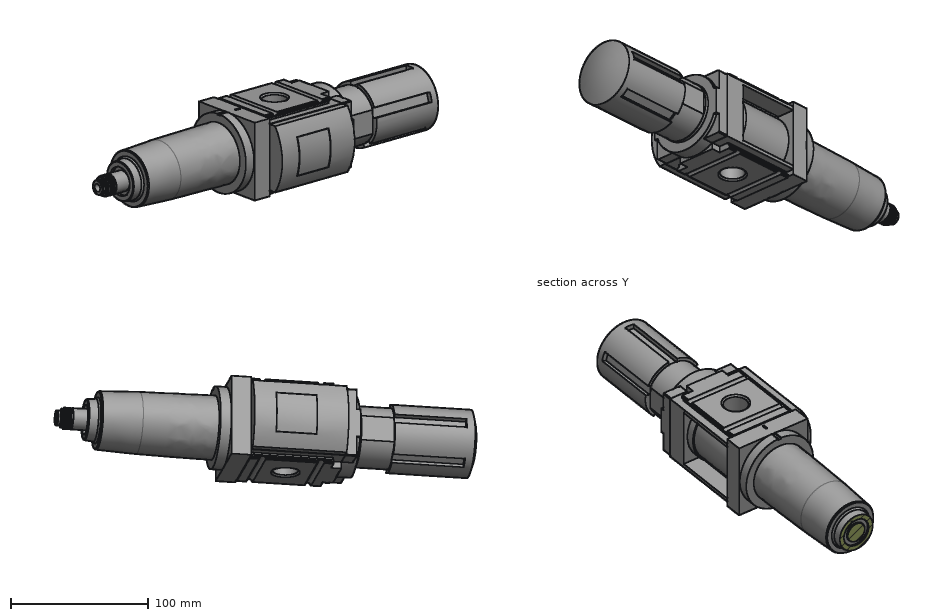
import cadquery as cq
import math


KNOB_TOP_Y = 140.7
KNOB_RIM_Y = 136.0
KNOB_BASE_Y = 76.8
COLLAR_TOP_Y = 52.3
CAP_TOP_Y = 49.8
CAP_CORNER_Y = 47.0
BODY_TOP_Y = 38.4
BODY_BASE_Y = -31.3
BLOCK_BASE_Y = -45.9
RING_BASE_Y = -53.7
BOWL_LINE_Y = -110.0
BOWL_RIM_Y = -139.2
BOWL_END_Y = -140.2
DRAIN_END_Y = -170.43

KNOB_R = 50.23 / 2
GROOVE_COUNT = 5
GROOVE_WIDTH = 7.6
GROOVE_DEPTH = 4.0
GROOVE_TOP_Y = 130.1
NECK_R = 45.0 / 2
NECK_FLAT = 20.5
COLLAR_R = 22.7

HALF_WIDTH = 31.25
HALF_HEIGHT = 31.0
CAP_HALF_WIDTH = 30.9
CAP_R = 30.2
CAP_HALF_Z = 25.8
CAP_TAB_HALF_Z = 10.5
CAP_CHAMFER = 0.7
LEDGE_Z = 26.0
BLOCK_HALF_WIDTH = 31.1
BLOCK_HALF_Z = 30.1
RING_R = 30.4
RING_NOTCH_WIDTH = 2.8
RING_NOTCH_DEPTH = 1.0
MARK_WIDTH = 1.2
MARK_LENGTH = 4.0
MARK_Y = -35.7
MARK_DEPTH = 0.3

PLATE_FOOT_X = 24.8
PLATE_EDGE_X = 26.4
PLATE_TOP_X = 25.4
PLATE_SLOPE_Z = 27.5
PLATE_EDGE_Z = 29.3
PLATE_CHAMFER_Z = 30.3
PLATE_TOP_Y = 30.8
TONGUE_HALF_X = 16.2
CROSS_GROOVE_R = 2.3
CROSS_GROOVES_Y = (21.5, -21.9)
PORT_D = 18.63
PORT_CHAMFER = 1.3
PORT_DEPTH = 20.0

POCKET_TOP_Y = 21.7
POCKET_HALF_Z = 23.0
POCKET_FLOOR_X = -16.3
SLEEVE_R = 26.7
SLEEVE_COLLAR_R = 27.9
SLEEVE_COLLAR_Y = 15.0

GAUGE_HALF_Z = 25.6
GAUGE_SHOULDER_X = 37.0
GAUGE_CREST_X = 45.0
GAUGE_TOTAL_X = 45.63
WINDOW_SIZE = 30.0

BOWL_TOP_R = 23.6
BOWL_MID_R = 23.3
BOWL_LINE_R = 22.8
BOWL_RIM_R = 21.5
BOWL_END_R = 20.9
NUT_R = 15.7
NUT_END_R = 14.6
NUT_CONE_R = 17.0
NUT_TOP_Y = -141.6
NUT_RIM_R = 15.1
NUT_RIM_Y = -148.2
NUT_RECESS_R = 11.0
NUT_RECESS_DEPTH = 2.5
NUT_END_Y = -148.8
STEM_R = 15.8 / 2
STEM_END_Y = -158.7
STEM_NECK_R = 11.6 / 2
RIB_PITCH = 1.6
RIB_WIDTH = 1.0
RIB_COUNT = 3
RIB_TOP_Y = -160.3
DRAIN_LAND_R = 7.0
DRAIN_LAND_TOP_Y = -165.6
DRAIN_LAND_BASE_Y = -166.6
TIP_GROOVE_R = 11.0 / 2
TIP_R = 11.4 / 2
TIP_TOP_Y = -167.7
TIP_CHAMFER_Y = -169.5
TIP_END_R = 5.3
DRAIN_BORE_D = 6.0
DRAIN_BORE_DEPTH = 12.0


def block(x_range, y_range, z_range):
    """Box between the given pairs of limits."""
    (x0, x1), (y0, y1), (z0, z1) = x_range, y_range, z_range
    return cq.Workplane("XY").box(x1 - x0, y1 - y0, z1 - z0, centered=False).translate((x0, y0, z0))


def disc(radius, y_top, y_base):
    """Cylinder on the main axis."""
    return cq.Workplane("XZ", origin=(0, y_top, 0)).circle(radius).extrude(y_top - y_base)


def revolved(profile):
    """Solid of revolution about the main axis from a (radius, y) wire."""
    return profile.close().revolve(360, (0, 0, 0), (0, 1, 0))


def make_knob():
    crown_slope_r = KNOB_R / 2
    rise = KNOB_TOP_Y - KNOB_RIM_Y
    crown_r = (KNOB_R**2 + rise**2) / (2 * rise)
    crown_mid_y = KNOB_TOP_Y - crown_r + math.sqrt(crown_r**2 - crown_slope_r**2)
    knob = revolved(
        cq.Workplane("XY")
        .moveTo(0, KNOB_BASE_Y)
        .lineTo(KNOB_R, KNOB_BASE_Y)
        .lineTo(KNOB_R, KNOB_RIM_Y)
        .threePointArc((crown_slope_r, crown_mid_y), (0, KNOB_TOP_Y))
    )
    groove = block(
        (-GROOVE_WIDTH / 2, GROOVE_WIDTH / 2),
        (KNOB_BASE_Y, GROOVE_TOP_Y),
        (KNOB_R - GROOVE_DEPTH, KNOB_R + GROOVE_DEPTH),
    )
    for i in range(GROOVE_COUNT):
        knob = knob.cut(groove.rotate((0, 0, 0), (0, 1, 0), i * 360 / GROOVE_COUNT))
    return knob


def make_neck():
    neck = disc(NECK_R, KNOB_BASE_Y, COLLAR_TOP_Y)
    flats = block((-NECK_FLAT, NECK_FLAT), (COLLAR_TOP_Y, KNOB_BASE_Y), (-NECK_R, NECK_R))
    return neck.intersect(flats).union(disc(COLLAR_R, COLLAR_TOP_Y, CAP_TOP_Y))


def make_cap():
    """Round cap with a square base and a raised tab on each X side."""
    x_limits = (-CAP_HALF_WIDTH, CAP_HALF_WIDTH)
    base = block(
        x_limits, (BODY_TOP_Y, CAP_TOP_Y), (-CAP_HALF_Z, CAP_HALF_Z)
    ).edges("|Y").chamfer(CAP_CHAMFER)
    for side in (-1, 1):
        z_limits = sorted((side * CAP_TAB_HALF_Z, side * HALF_HEIGHT))
        base = base.cut(block(x_limits, (CAP_CORNER_Y, CAP_TOP_Y), z_limits))
    return base.union(disc(CAP_R, CAP_TOP_Y, BODY_TOP_Y))


def make_plate():
    """Dovetail plate on the +Z face, with a tongue toward the cap and two cross grooves."""
    right_side = [
        (PLATE_FOOT_X, LEDGE_Z),
        (PLATE_FOOT_X, PLATE_SLOPE_Z),
        (PLATE_EDGE_X, PLATE_EDGE_Z),
        (PLATE_EDGE_X, PLATE_CHAMFER_Z),
        (PLATE_TOP_X, HALF_HEIGHT),
    ]
    left_side = [(-x, z) for x, z in reversed(right_side)]
    plate = (
        cq.Workplane("XZ", origin=(0, PLATE_TOP_Y, 0))
        .polyline(right_side + left_side)
        .close()
        .extrude(PLATE_TOP_Y - BODY_BASE_Y)
    )
    tongue = block((-TONGUE_HALF_X, TONGUE_HALF_X), (PLATE_TOP_Y, BODY_TOP_Y), (LEDGE_Z, HALF_HEIGHT))
    plate = plate.union(tongue)
    for y in CROSS_GROOVES_Y:
        groove = (
            cq.Workplane("YZ", origin=(-HALF_WIDTH, y, HALF_HEIGHT))
            .circle(CROSS_GROOVE_R)
            .extrude(2 * HALF_WIDTH)
        )
        plate = plate.cut(groove)
    return plate


def make_port():
    """Cutter for one blind port with a chamfered mouth on the +Z face."""
    bore = cq.Workplane("XY", origin=(0, 0, HALF_HEIGHT)).circle(PORT_D / 2).extrude(-PORT_DEPTH)
    mouth = (
        cq.Workplane("XY", origin=(0, 0, HALF_HEIGHT))
        .circle(PORT_D / 2 + PORT_CHAMFER)
        .extrude(-PORT_CHAMFER, taper=45)
    )
    return bore.union(mouth)


def make_pocket():
    """Cutter for the -X pocket; the sleeve inside it is left standing."""
    z_limits = (-POCKET_HALF_Z, POCKET_HALF_Z)
    pocket = block((-HALF_WIDTH, POCKET_FLOOR_X), (BODY_BASE_Y, POCKET_TOP_Y), z_limits)
    pocket = pocket.cut(disc(SLEEVE_R, POCKET_TOP_Y, BODY_BASE_Y))
    return pocket.cut(disc(SLEEVE_COLLAR_R, POCKET_TOP_Y, SLEEVE_COLLAR_Y))


def make_body():
    x_limits = (-HALF_WIDTH, HALF_WIDTH)
    body = block(x_limits, (BODY_BASE_Y, BODY_TOP_Y), (-LEDGE_Z, LEDGE_Z))
    body = body.cut(make_pocket())
    base_block = block(
        (-BLOCK_HALF_WIDTH, BLOCK_HALF_WIDTH),
        (BLOCK_BASE_Y, BODY_BASE_Y),
        (-BLOCK_HALF_Z, BLOCK_HALF_Z),
    )
    body = body.union(base_block)
    plate = make_plate()
    port = make_port()
    body = body.union(plate).union(plate.mirror("XY"))
    body = body.cut(port).cut(port.mirror("XY"))
    mark = block(
        (-MARK_WIDTH / 2, MARK_WIDTH / 2),
        (MARK_Y - MARK_LENGTH / 2, MARK_Y + MARK_LENGTH / 2),
        (BLOCK_HALF_Z - MARK_DEPTH, BLOCK_HALF_Z),
    )
    return body.cut(mark)


def make_gauge():
    """Curved cover with a square window insert standing slightly proud."""

    def shell(crest_x, shoulder_x, y_top, y_base):
        return (
            cq.Workplane("XZ", origin=(0, y_top, 0))
            .moveTo(HALF_WIDTH, -GAUGE_HALF_Z)
            .lineTo(shoulder_x, -GAUGE_HALF_Z)
            .threePointArc((crest_x, 0), (shoulder_x, GAUGE_HALF_Z))
            .lineTo(HALF_WIDTH, GAUGE_HALF_Z)
            .close()
            .extrude(y_top - y_base)
        )

    half = WINDOW_SIZE / 2
    proud = GAUGE_TOTAL_X - GAUGE_CREST_X
    cover = shell(GAUGE_CREST_X, GAUGE_SHOULDER_X, BODY_TOP_Y, BODY_BASE_Y)
    window = shell(GAUGE_TOTAL_X, GAUGE_SHOULDER_X + proud, half, -half)
    window = window.intersect(block((HALF_WIDTH, GAUGE_TOTAL_X), (-half, half), (-half, half)))
    return cover.union(window)


def make_ring():
    ring = disc(RING_R, BLOCK_BASE_Y, RING_BASE_Y)
    notch = block(
        (-RING_NOTCH_WIDTH / 2, RING_NOTCH_WIDTH / 2),
        (RING_BASE_Y, BLOCK_BASE_Y),
        (RING_R - RING_NOTCH_DEPTH, RING_R),
    )
    return ring.cut(notch)


def make_bowl():
    """Barrel-shaped bowl that tapers toward the drain nut."""
    mid_y = (RING_BASE_Y + BOWL_LINE_Y) / 2
    return revolved(
        cq.Workplane("XY")
        .moveTo(0, RING_BASE_Y)
        .lineTo(BOWL_TOP_R, RING_BASE_Y)
        .threePointArc((BOWL_MID_R, mid_y), (BOWL_LINE_R, BOWL_LINE_Y))
        .lineTo(BOWL_RIM_R, BOWL_RIM_Y)
        .lineTo(BOWL_END_R, BOWL_END_Y)
        .lineTo(NUT_CONE_R, BOWL_END_Y)
        .lineTo(NUT_R, NUT_TOP_Y)
        .lineTo(NUT_RIM_R, NUT_RIM_Y)
        .lineTo(NUT_END_R, NUT_END_Y)
        .lineTo(NUT_RECESS_R, NUT_END_Y)
        .lineTo(NUT_RECESS_R, NUT_END_Y + NUT_RECESS_DEPTH)
        .lineTo(0, NUT_END_Y + NUT_RECESS_DEPTH)
    )


def make_drain():
    """Hollow drain stem with ribs and a lipped tip."""
    drain = disc(STEM_R, NUT_END_Y + NUT_RECESS_DEPTH, STEM_END_Y)
    drain = drain.union(disc(STEM_NECK_R, STEM_END_Y, DRAIN_LAND_TOP_Y))
    for i in range(RIB_COUNT):
        rib_y = RIB_TOP_Y - i * RIB_PITCH
        drain = drain.union(disc(STEM_R, rib_y, rib_y - RIB_WIDTH))
    drain = drain.union(disc(DRAIN_LAND_R, DRAIN_LAND_TOP_Y, DRAIN_LAND_BASE_Y))
    drain = drain.union(disc(TIP_GROOVE_R, DRAIN_LAND_BASE_Y, TIP_TOP_Y))
    tip = revolved(
        cq.Workplane("XY")
        .moveTo(0, TIP_TOP_Y)
        .lineTo(TIP_R, TIP_TOP_Y)
        .lineTo(TIP_R, TIP_CHAMFER_Y)
        .lineTo(TIP_END_R, DRAIN_END_Y)
        .lineTo(0, DRAIN_END_Y)
    )
    bore = disc(DRAIN_BORE_D / 2, DRAIN_END_Y + DRAIN_BORE_DEPTH, DRAIN_END_Y)
    return drain.union(tip).cut(bore)


result = make_body()
for component in (
    make_cap(),
    make_neck(),
    make_knob(),
    make_gauge(),
    make_ring(),
    make_bowl(),
    make_drain(),
):
    result = result.union(component)